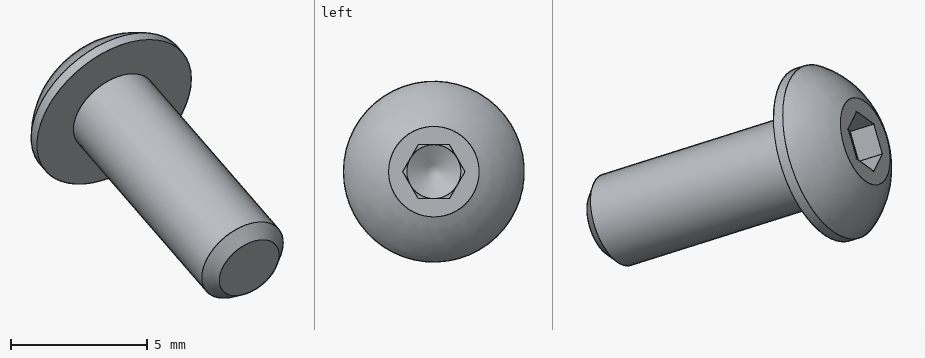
import cadquery as cq
import math

total_length = 11.38
head_diameter = 6.65
head_height = 1.85
rim_thickness = 0.41
crown_flat_diameter = head_diameter / 2
dome_bulge = 0.18
shank_diameter = 3.5
tip_chamfer = 0.47
socket_across_flats = 1.98
socket_depth = 1.04
drill_point_angle = 120.0

head_face_x = -total_length / 2
tip_x = total_length / 2
seat_x = head_face_x + head_height
rim_x = seat_x - rim_thickness
head_radius = head_diameter / 2
crown_radius = crown_flat_diameter / 2
shank_radius = shank_diameter / 2


def dome_midpoint():
    """Point of the dome arc halfway between crown flat and rim."""
    run = rim_x - head_face_x
    rise = head_radius - crown_radius
    chord = math.hypot(run, rise)
    return (
        (head_face_x + rim_x) / 2 - dome_bulge * rise / chord,
        (crown_radius + head_radius) / 2 + dome_bulge * run / chord,
    )


def make_body():
    """Head and chamfered shank, revolved about X."""
    return (
        cq.Workplane("XY")
        .moveTo(head_face_x, 0)
        .lineTo(head_face_x, crown_radius)
        .threePointArc(dome_midpoint(), (rim_x, head_radius))
        .lineTo(seat_x, head_radius)
        .lineTo(seat_x, shank_radius)
        .lineTo(tip_x - tip_chamfer, shank_radius)
        .lineTo(tip_x, shank_radius - tip_chamfer)
        .lineTo(tip_x, 0)
        .close()
        .revolve(360, (0, 0, 0), (1, 0, 0))
    )


def make_socket():
    """Hexagonal socket with corners on Y and a conical drill point at its floor."""
    across_corners = socket_across_flats / math.cos(math.pi / 6)
    hexagon = (
        cq.Workplane("YZ", origin=(head_face_x, 0, 0))
        .polygon(6, across_corners)
        .extrude(socket_depth)
    )
    point_radius = socket_across_flats / 2
    point_depth = point_radius / math.tan(math.radians(drill_point_angle / 2))
    floor_x = head_face_x + socket_depth
    drill_point = cq.Solid.makeCone(
        point_radius, 0, point_depth, pnt=cq.Vector(floor_x, 0, 0), dir=cq.Vector(1, 0, 0)
    )
    return hexagon.union(cq.Workplane(drill_point))


result = make_body().cut(make_socket())